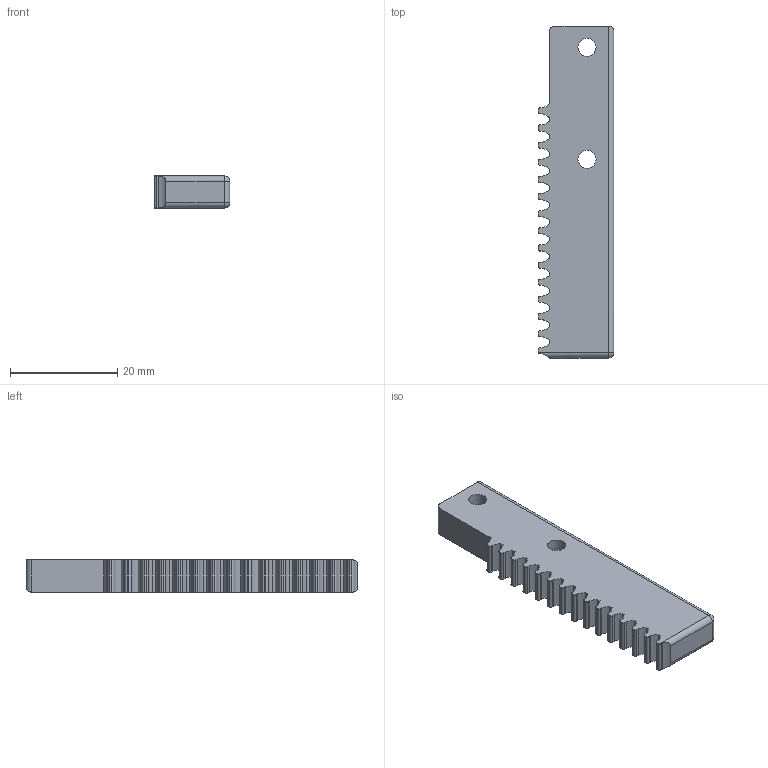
import cadquery as cq
import math

body_width = 12.0
length = 62.0
height = 6.0
edge_radius = 1.0

tooth_count = 15
tooth_pitch = 3.2
tooth_height = 2.12
first_tooth_y = 1.35
tip_radius = 0.4
tip_land_end = 0.75
tip_width = 1.14
root_width = 2.6
flank_radius = 3.0
root_overlap = 0.5

hole_diameter = 3.4
hole_x = body_width - 5.0
hole_end_distance = 4.0
hole_spacing = 20.9
counterbore_diameter = 6.0
counterbore_floor = 2.0


def make_bar():
    """Bar spanning body and teeth, rounded along +X, -Y and the underside of +Y."""
    bar = cq.Workplane("XY").box(body_width + tooth_height, length, height, centered=False)
    bar = bar.translate((-tooth_height, 0, 0))
    rounded_edges = bar.faces(">X").edges("not(>Y and >Z)")
    rounded_edges = rounded_edges.add(bar.faces("<Y").edges("|X"))
    rounded_edges = rounded_edges.add(bar.faces(">Y").edges("<Z"))
    return rounded_edges.fillet(edge_radius)


def make_tooth(center_y):
    """One tooth with rounded tip corners, a short parallel tip and concave circular flanks."""
    half_tip = tip_width / 2
    half_root = root_width / 2
    flank_start_x = tip_land_end - tooth_height
    flank_run = -flank_start_x
    flank_rise = half_root - half_tip
    half_chord = math.hypot(flank_run, flank_rise) / 2
    flank_sagitta = flank_radius - math.sqrt(flank_radius**2 - half_chord**2)
    tooth = (
        cq.Workplane("XY")
        .moveTo(root_overlap, half_root)
        .lineTo(root_overlap, -half_root)
        .lineTo(0, -half_root)
        .sagittaArc((flank_start_x, -half_tip), -flank_sagitta)
        .lineTo(-tooth_height, -half_tip)
        .lineTo(-tooth_height, half_tip)
        .lineTo(flank_start_x, half_tip)
        .sagittaArc((0, half_root), -flank_sagitta)
        .close()
        .extrude(height)
        .edges("|Z and <X")
        .fillet(tip_radius)
    )
    return tooth.translate((0, center_y, 0))


def make_outline():
    """Full-height plan shape: plain body with a rounded -X +Y corner, plus the row of teeth."""
    outline = cq.Workplane("XY").box(body_width, length, height, centered=False)
    outline = outline.edges("|Z and <X and >Y").fillet(edge_radius)
    for index in range(tooth_count):
        outline = outline.union(make_tooth(first_tooth_y + index * tooth_pitch))
    return outline


def make_holes():
    """Two through holes on a line parallel to the rack; the inner one is counterbored from below."""
    end_hole_y = length - hole_end_distance
    inner_hole_y = end_hole_y - hole_spacing
    centers = [(hole_x, end_hole_y), (hole_x, inner_hole_y)]
    holes = cq.Workplane("XY").pushPoints(centers).circle(hole_diameter / 2).extrude(height)
    counterbore = (
        cq.Workplane("XY")
        .center(hole_x, inner_hole_y)
        .circle(counterbore_diameter / 2)
        .extrude(height - counterbore_floor)
    )
    return holes.union(counterbore)


result = make_bar().intersect(make_outline()).cut(make_holes())